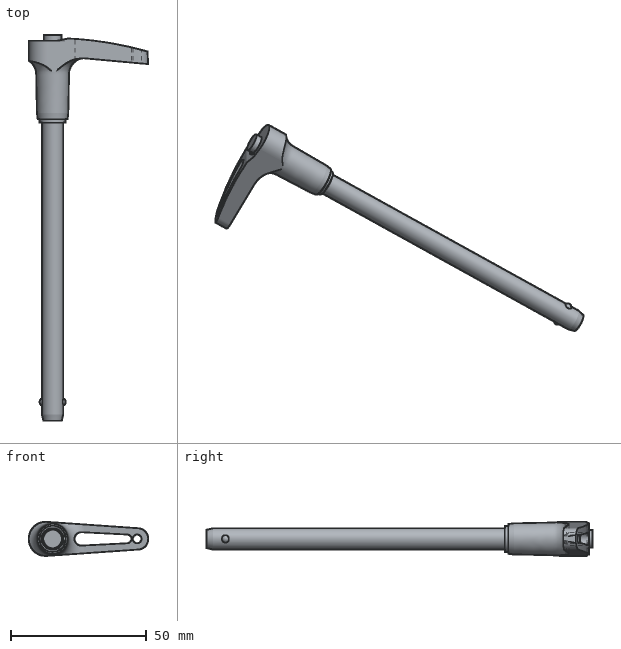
import cadquery as cq
import math

total_length = 142.2

shank_radius = 4.0
tip_radius = 3.4
tip_chamfer_length = 2.4
ball_radius = 1.4
ball_reach = 4.8
ball_y = 7.0

collar_radius = 4.8
collar_start = 110.0
sleeve_start = 111.2
sleeve_start_radius = 5.5
sleeve_taper_start = 113.4
sleeve_taper_radius = 5.8
sleeve_top_radius = 6.1
flare_start = 127.7

button_radius = 3.34
button_recess_radius = 4.1

hub_end_radius = 6.33
hub_end_x = -2.49
lever_tip_radius = 4.0
lever_tip_x = 31.3
hub_top = 140.1
hump_start_x = 1.8
crest = (5.7, 141.0)
back_middle = (21.3, 139.3)
back_end = (35.0, 136.1)
lever_end_x = lever_tip_x + lever_tip_radius
underside_end_y = 131.5
flare_outer_radius = 11.7
flare_top = 133.5

slot_inner_x = 10.5
slot_inner_radius = 2.4
slot_outer_x = 27.5
slot_outer_radius = 1.5
lanyard_hole_x = 31.2
lanyard_hole_radius = 1.5


def along_y(start):
    """Sketch plane facing +Y at the given height, with local x along X."""
    return cq.Workplane("XZ", origin=(0, start, 0))


def cylinder(radius, start, end):
    return along_y(start).circle(radius).extrude(start - end)


def tapered_oblong(x1, r1, x2, r2):
    """Two end circles joined by their common tangents, extruded along the whole part."""
    lean = (r1 - r2) / (x2 - x1)
    rise = math.sqrt(1 - lean**2)
    return (
        along_y(0)
        .moveTo(x1 + r1 * lean, r1 * rise)
        .lineTo(x2 + r2 * lean, r2 * rise)
        .threePointArc((x2 + r2, 0), (x2 + r2 * lean, -r2 * rise))
        .lineTo(x1 + r1 * lean, -r1 * rise)
        .threePointArc((x1 - r1, 0), (x1 + r1 * lean, r1 * rise))
        .close()
        .extrude(-total_length)
    )


def make_shank():
    """Shank, collar and tapered sleeve as one turned profile."""
    return (
        cq.Workplane("XY")
        .polyline([
            (0, 0),
            (tip_radius, 0),
            (shank_radius, tip_chamfer_length),
            (shank_radius, collar_start),
            (collar_radius, collar_start),
            (collar_radius, sleeve_start),
            (sleeve_start_radius, sleeve_start),
            (sleeve_taper_radius, sleeve_taper_start),
            (sleeve_top_radius, flare_start),
            (0, flare_start),
        ])
        .close()
        .revolve(360, (0, 0, 0), (0, 1, 0))
    )


def make_flare():
    """Concave elliptical flare that blends the sleeve into the lever."""
    width = flare_outer_radius - sleeve_top_radius
    height = flare_top - flare_start
    diagonal = math.sqrt(0.5)
    middle = (flare_outer_radius - width * diagonal, flare_start + height * diagonal)
    return (
        cq.Workplane("XY")
        .moveTo(0, flare_start)
        .lineTo(sleeve_top_radius, flare_start)
        .threePointArc(middle, (flare_outer_radius, flare_top))
        .lineTo(flare_outer_radius, hub_top)
        .lineTo(0, hub_top)
        .close()
        .revolve(360, (0, 0, 0), (0, 1, 0))
    )


def make_lever():
    """Curved lever and flare trimmed to the tapered outline, with its openings."""
    hub_left = hub_end_x - hub_end_radius
    lever = (
        cq.Workplane("XY")
        .moveTo(hub_left, flare_top)
        .lineTo(hub_left, hub_top)
        .lineTo(hump_start_x, hub_top)
        .lineTo(*crest)
        .threePointArc(back_middle, back_end)
        .lineTo(lever_end_x, underside_end_y)
        .lineTo(flare_outer_radius, flare_top)
        .close()
        .extrude(hub_end_radius, both=True)
    )
    outline = tapered_oblong(hub_end_x, hub_end_radius, lever_tip_x, lever_tip_radius)
    slot = tapered_oblong(slot_inner_x, slot_inner_radius, slot_outer_x, slot_outer_radius)
    lanyard_hole = cylinder(lanyard_hole_radius, 0, total_length).translate((lanyard_hole_x, 0, 0))
    button_recess = cylinder(button_recess_radius, hub_top, total_length)
    return lever.union(make_flare()).intersect(outline).cut(slot).cut(lanyard_hole).cut(button_recess)


result = make_shank().union(make_lever())
result = result.union(cylinder(button_radius, flare_start, total_length))
for side in (-1, 1):
    ball_x = side * (ball_reach - ball_radius)
    ball = cq.Workplane("XY").sphere(ball_radius).translate((ball_x, ball_y, 0))
    result = result.union(ball)